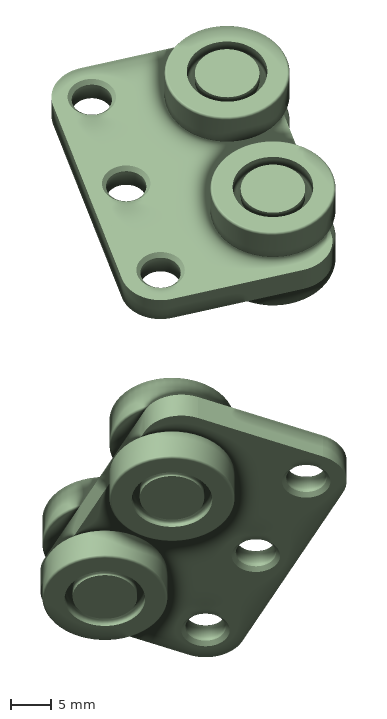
import cadquery as cq

plate_length = 40.0
plate_width = 27.0
plate_thickness = 3.5
corner_radius = 5.0

hole_diameter = 5.0
countersink_diameter = 6.0
countersink_angle = 90.0
hole_edge_distance = 5.0
hole_spacing = plate_length / 2 - hole_edge_distance
hole_y = -plate_width / 2 + hole_edge_distance

overall_height = 13.5
roller_diameter = 15.5
hub_diameter = 8.0
roller_height = 4.5
hub_height = (overall_height - plate_thickness) / 2 - roller_height
recess_diameter = 10.0
recess_depth = 1.75
fillet_radius = 0.3
roller_spacing = 20.0
roller_edge_distance = 6.0
roller_y = plate_width / 2 - roller_edge_distance
stations = [(-roller_spacing / 2, roller_y), (roller_spacing / 2, roller_y)]

pin_head_diameter = 8.0
pin_stem_diameter = 5.2
pin_head_drop = 0.3

plate_top = plate_thickness / 2
roller_bottom = plate_top + hub_height
roller_top = roller_bottom + roller_height
recess_floor = roller_top - recess_depth
pin_top = roller_top - pin_head_drop


def cylinder(diameter, bottom, top):
    """Upright cylinder on the Z axis between two heights."""
    return cq.Workplane("XY").workplane(offset=bottom).circle(diameter / 2).extrude(top - bottom)


def make_plate():
    """Rounded plate with three holes countersunk on both faces and two pin holes."""
    plate = cq.Workplane("XY").box(plate_length, plate_width, plate_thickness)
    plate = plate.edges("|Z").fillet(corner_radius)
    for side in (">Z", "<Z"):
        plate = (
            plate.faces(side)
            .workplane(origin=(0, hole_y, 0))
            .pushPoints([(-hole_spacing, 0), (0, 0), (hole_spacing, 0)])
            .cskHole(hole_diameter, countersink_diameter, countersink_angle)
        )
    return plate.faces(">Z").workplane(origin=(0, 0, 0)).pushPoints(stations).hole(pin_stem_diameter)


def make_hub():
    """Hub that flares in a quarter-round from the plate up to the roller."""
    foot_radius = hub_diameter / 2
    root_radius = foot_radius + hub_height
    profile = (
        cq.Workplane("XZ")
        .moveTo(0, plate_top)
        .lineTo(foot_radius, plate_top)
        .radiusArc((root_radius, roller_bottom), hub_height)
        .lineTo(0, roller_bottom)
        .close()
    )
    return profile.revolve(360, (0, 0, 0), (0, 1, 0))


def make_roller():
    """Roller above the plate: rounded rim, recessed outer face and a hub resting on the plate."""
    rim = cylinder(roller_diameter, roller_bottom, roller_top).edges("%CIRCLE").fillet(fillet_radius)
    recess = cylinder(recess_diameter, recess_floor, roller_top)
    recess = recess.faces("<Z").edges().fillet(fillet_radius)
    bore = cylinder(pin_stem_diameter, plate_top, roller_top)
    return rim.union(make_hub()).cut(recess).cut(bore)


def make_pin():
    """Pin whose head sits on the recess floor and whose stem reaches the middle of the plate."""
    head = cylinder(pin_head_diameter, recess_floor, pin_top)
    stem = cylinder(pin_stem_diameter, 0, recess_floor)
    return head.union(stem)


def place_copies(body):
    """Copies of a body above and below the plate at both stations, each a separate solid."""
    copies = []
    for x, y in stations:
        upper = body.translate((x, y, 0))
        lower = upper.mirror("XY")
        copies += [upper.val(), lower.val()]
    return copies


plate = make_plate()
rollers = place_copies(make_roller())
pins = place_copies(make_pin())

result = cq.Compound.makeCompound([plate.val(), *rollers, *pins])